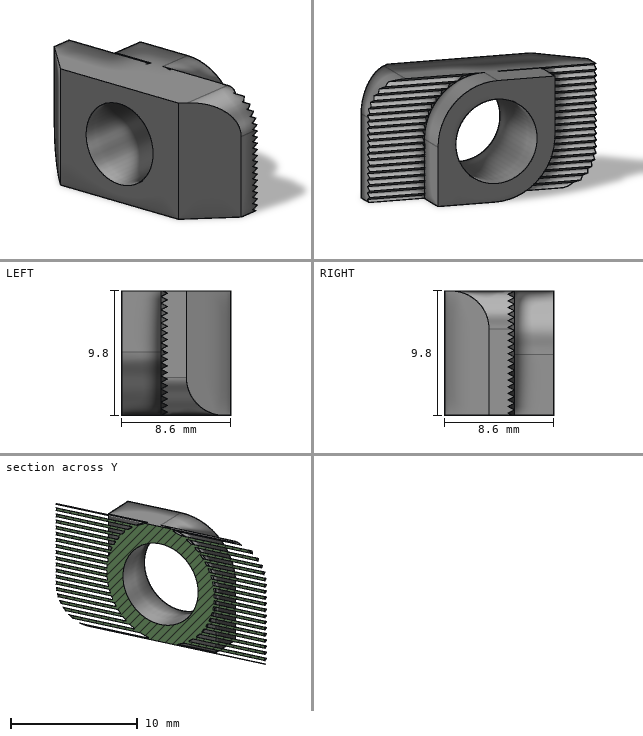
import math

import cadquery as cq

flange_length = 19.0
part_height = 9.8
flange_thickness = 5.5
flange_bevel = 3.5
flange_corner_radius = 3.0
neck_width = part_height
neck_depth = 3.1
neck_corner_radius = 5.0
bore_diameter = 6.8

tooth_pitch = 0.52
groove_depth = 0.5
crest_land = 0.004
neck_clearance = 0.004
groove_width = tooth_pitch - crest_land
groove_count = math.ceil(part_height / tooth_pitch)

half_length = flange_length / 2
half_height = part_height / 2

rounding_x = neck_corner_radius - neck_width / 2
rounding_z = neck_corner_radius - half_height


def rounded_bar(width, y_start, y_end, radius):
    """Bar along Y with its lower left and upper right corners rounded."""
    half_width = width / 2
    diagonal_inset = radius * (1 - math.sqrt(0.5))
    outline = (
        cq.Workplane("XZ", origin=(0, y_end, 0))
        .moveTo(-half_width, half_height)
        .lineTo(half_width - radius, half_height)
        .threePointArc(
            (half_width - diagonal_inset, half_height - diagonal_inset),
            (half_width, half_height - radius),
        )
        .lineTo(half_width, -half_height)
        .lineTo(radius - half_width, -half_height)
        .threePointArc(
            (diagonal_inset - half_width, diagonal_inset - half_height),
            (-half_width, radius - half_height),
        )
        .close()
    )
    return outline.extrude(y_end - y_start)


def make_flange():
    """Flange with rounded corners and bevelled ends."""
    bar = rounded_bar(flange_length, -flange_thickness, 0, flange_corner_radius)
    bevelled_profile = (
        cq.Workplane("XY", origin=(0, 0, -half_height))
        .polyline(
            [
                (-half_length, 0),
                (half_length, 0),
                (half_length, flange_bevel - flange_thickness),
                (half_length - flange_bevel, -flange_thickness),
                (flange_bevel - half_length, -flange_thickness),
                (-half_length, flange_bevel - flange_thickness),
            ]
        )
        .close()
        .extrude(part_height)
    )
    return bar.intersect(bevelled_profile)


def make_left_grooves():
    """V grooves counted from the lower edge, ending just outside the neck's rounding cylinder."""
    rounding_core = (
        cq.Workplane("XZ")
        .center(rounding_x, rounding_z)
        .circle(neck_corner_radius + neck_clearance)
        .extrude(groove_depth)
    )
    grooves = cq.Workplane("YZ")
    for index in range(groove_count):
        lower_lip = -half_height + crest_land / 2 + index * tooth_pitch
        groove = (
            cq.Workplane("YZ", origin=(-half_length, 0, 0))
            .moveTo(0, lower_lip)
            .lineTo(-groove_depth, lower_lip + groove_width / 2)
            .lineTo(0, lower_lip + groove_width)
            .close()
            .extrude(half_length + rounding_x)
        )
        grooves = grooves.union(groove.cut(rounding_core))
    return grooves


def make_bore():
    """Through bore along Y."""
    bore_length = flange_thickness + neck_depth
    return cq.Workplane("XZ", origin=(0, neck_depth, 0)).circle(bore_diameter / 2).extrude(bore_length)


neck = rounded_bar(neck_width, 0, neck_depth, neck_corner_radius)
left_grooves = make_left_grooves()
right_grooves = left_grooves.rotate((0, 0, 0), (0, 1, 0), 180)

serrated_flange = make_flange().cut(left_grooves).cut(right_grooves)
result = serrated_flange.union(neck).cut(make_bore())